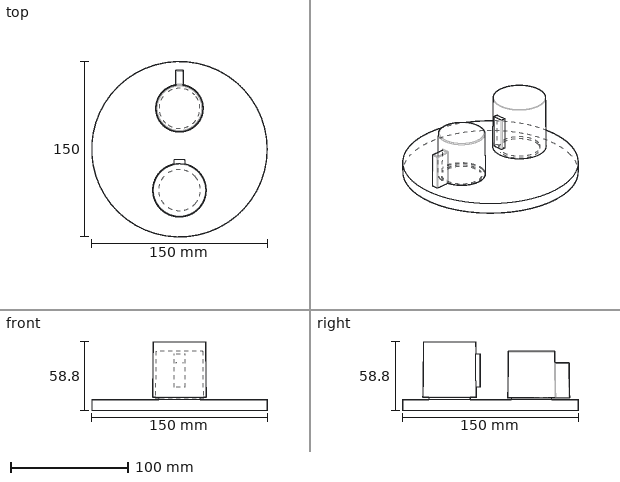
import cadquery as cq

PLATE_DIAMETER = 150.0
PLATE_THICKNESS = 9.5
KNOB_OFFSET = 35.0

LARGE_BOTTOM_RADIUS = 23.0
LARGE_TOP_RADIUS = 22.5
LARGE_BOTTOM_Z = 11.4
LARGE_TOP_Z = 58.8
LARGE_EDGE_FILLET = 0.3
LARGE_NECK_RADIUS = 17.7

TAB_WIDTH = 9.5
TAB_REACH = 26.2
TAB_BOTTOM_Z = 20.1
TAB_TOP_Z = 48.5
TAB_EDGE_FILLET = 0.9

SMALL_BOTTOM_RADIUS = 20.4
SMALL_TOP_RADIUS = 20.0
SMALL_BOTTOM_Z = 10.8
SMALL_TOP_Z = 51.0
SMALL_TOP_FILLET = 0.9
SMALL_BOTTOM_FILLET = 0.5
SMALL_NECK_RADIUS = 17.2

LEVER_BOTTOM_WIDTH = 6.6
LEVER_TOP_WIDTH = 6.3
LEVER_BOTTOM_REACH = 32.7
LEVER_TOP_REACH = 32.2
LEVER_TOP_Z = 41.1
LEVER_EDGE_FILLET = 0.8
LEVER_ROOT_FILLET = 0.8


def make_plate():
    return cq.Workplane("XY").circle(PLATE_DIAMETER / 2).extrude(PLATE_THICKNESS)


def make_neck(radius, top_z, center_y):
    """Plain cylinder filling the gap between the plate and a knob."""
    return (
        cq.Workplane("XY", origin=(0, center_y, PLATE_THICKNESS))
        .circle(radius)
        .extrude(top_z - PLATE_THICKNESS)
    )


def tapered_barrel(bottom_radius, top_radius, bottom_z, top_z):
    """Solid cone frustum about the Z axis."""
    return (
        cq.Workplane("XZ")
        .moveTo(0, bottom_z)
        .lineTo(bottom_radius, bottom_z)
        .lineTo(top_radius, top_z)
        .lineTo(0, top_z)
        .close()
        .revolve(360, (0, 0), (0, 1))
    )


def make_large_knob():
    barrel = tapered_barrel(LARGE_BOTTOM_RADIUS, LARGE_TOP_RADIUS, LARGE_BOTTOM_Z, LARGE_TOP_Z)
    barrel = barrel.faces("<Z or >Z").edges().fillet(LARGE_EDGE_FILLET)
    tab = (
        cq.Workplane("XY", origin=(0, TAB_REACH / 2, TAB_BOTTOM_Z))
        .rect(TAB_WIDTH, TAB_REACH)
        .extrude(TAB_TOP_Z - TAB_BOTTOM_Z)
        .faces(">Y")
        .edges("|Z")
        .fillet(TAB_EDGE_FILLET)
    )
    return barrel.union(tab).translate((0, -KNOB_OFFSET, 0))


def make_lever():
    """Bar from the knob axis outward, narrowing slightly towards its top."""
    height = LEVER_TOP_Z - SMALL_BOTTOM_Z
    lever = (
        cq.Workplane("XY", origin=(0, LEVER_BOTTOM_REACH / 2, SMALL_BOTTOM_Z))
        .rect(LEVER_BOTTOM_WIDTH, LEVER_BOTTOM_REACH)
        .workplane(offset=height)
        .center(0, (LEVER_TOP_REACH - LEVER_BOTTOM_REACH) / 2)
        .rect(LEVER_TOP_WIDTH, LEVER_TOP_REACH)
        .loft(ruled=True)
    )
    return lever.faces(">Z or >Y").edges("not <Z").edges("not <Y").fillet(LEVER_EDGE_FILLET)


def make_small_knob():
    barrel = tapered_barrel(SMALL_BOTTOM_RADIUS, SMALL_TOP_RADIUS, SMALL_BOTTOM_Z, SMALL_TOP_Z)
    barrel = barrel.faces(">Z").edges().fillet(SMALL_TOP_FILLET)
    knob = barrel.union(make_lever())
    search_box = cq.selectors.BoxSelector(
        (-LEVER_BOTTOM_WIDTH, SMALL_TOP_RADIUS / 2, SMALL_BOTTOM_Z + SMALL_BOTTOM_FILLET),
        (LEVER_BOTTOM_WIDTH, SMALL_BOTTOM_RADIUS, LEVER_TOP_Z + LEVER_EDGE_FILLET),
    )
    knob = knob.edges(search_box).fillet(LEVER_ROOT_FILLET)
    knob = knob.faces("<Z").edges().fillet(SMALL_BOTTOM_FILLET)
    return knob.translate((0, KNOB_OFFSET, 0))


plate = make_plate()
large_neck = make_neck(LARGE_NECK_RADIUS, LARGE_BOTTOM_Z, -KNOB_OFFSET)
small_neck = make_neck(SMALL_NECK_RADIUS, SMALL_BOTTOM_Z, KNOB_OFFSET)
large_knob = make_large_knob()
small_knob = make_small_knob()

result = cq.Compound.makeCompound(
    [plate.val(), large_neck.val(), small_neck.val(), large_knob.val(), small_knob.val()]
)